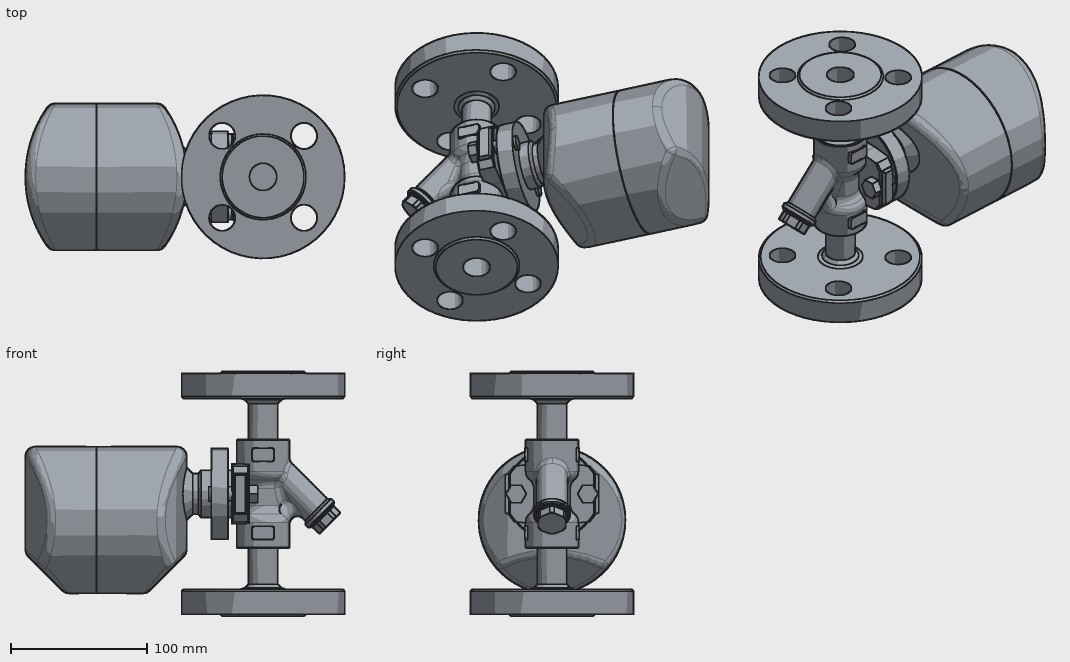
import cadquery as cq
import math

hex_sides = 6

half_height = 90.0
flange_dia = 120.0
raised_face_top_dia = 60.0
raised_face_base_dia = 63.0
raised_face_height = 1.5
flange_inner_face = 70.0
flange_chamfer = 1.5
bolt_circle_dia = 85.0
bolt_hole_dia = 19.0
bolt_hole_count = 4
bore_dia = 20.0
hub_base_dia = 33.0
hub_dia = 27.0
hub_flare_height = 1.0
pipe_dia = 21.7

body_dia = 39.0
body_half_height = 40.0
body_edge_chamfer = 0.8
waist_dia = 27.0
waist_centre = -2.1
waist_half_straight = 6.3
waist_half_total = 18.8
pad_width = 16.0
pad_height = 9.8
pad_corner = 3.0
pad_draft = 10.0
pad_face = 20.0
pad_centre_height = 28.7

branch_dia = 23.0
branch_axis_height = 27.4
branch_length = 55.2
branch_fillet = 5.8
ring_dia = 27.0
ring_cone = 2.0
ring_end = 61.2
ring_chamfer = 1.0
collar_end = 62.4
plug_across_flats = 20.4
plug_dia = 22.0
plug_end = 69.5
plug_chamfer = 0.4

yoke_left = -23.0
yoke_right = -10.3
yoke_half_height = 22.1
yoke_shoulder_y = 12.0
yoke_corner_y = 27.7
yoke_corner_z = 20.4
yoke_end_y = 31.8
yoke_end_chamfer = 1.0
yoke_end_half_height = 15.1
yoke_pad_left = -20.3
yoke_pad_right = -13.2
yoke_pad_face = 34.5
yoke_pad_half_height = 13.8
yoke_pad_draft = 20.0
bolt_offset = 26.3
bolt_dia = 10.5
bolt_left = -40.0
nut_across_flats = 13.0
nut_end = -3.9

clamp_dia = 67.0
clamp_left = -38.0
clamp_right = -25.5
clamp_chamfer = 0.6
neck_hub_dia = 35.0
neck_hub_left = -46.4
neck_groove_dia = 30.0
neck_groove_right = -47.6
neck_hub_chamfer = 1.0
neck_cone_right = -51.6
neck_end_dia = 48.0

head_left = -174.7
head_right = -56.0
head_dia = 108.0
head_axis_height = -19.2
head_end_radius = 88.5
head_fillet = 7.5
head_overrun = 1.0
outline_margin = 11.0
slant_start_height = -43.9
seam_left = -122.4
seam_width = 0.4
seam_depth = 0.2


def x_cylinder(diameter, start, end, y=0.0, z=0.0):
    """Cylinder along X between two X positions."""
    return cq.Workplane("YZ", origin=(start, y, z)).circle(diameter / 2).extrude(end - start)


def make_flange():
    """Upper flange with hub, bolt holes and blind bore."""
    face = half_height - raised_face_height
    cone_height = (hub_dia - pipe_dia) / 2
    cone_base = flange_inner_face - hub_flare_height
    rim = flange_dia / 2
    profile = [
        (0, cone_base - cone_height),
        (pipe_dia / 2, cone_base - cone_height),
        (hub_dia / 2, cone_base),
        (hub_base_dia / 2, flange_inner_face),
        (rim - flange_chamfer, flange_inner_face),
        (rim, flange_inner_face + flange_chamfer),
        (rim, face),
        (raised_face_base_dia / 2, face),
        (raised_face_top_dia / 2, half_height),
        (0, half_height),
    ]
    flange = cq.Workplane("XZ").polyline(profile).close().revolve(360, (0, 0, 0), (0, 1, 0))
    holes = (
        cq.Workplane("XY", origin=(0, 0, flange_inner_face))
        .polarArray(bolt_circle_dia / 2, 180 / bolt_hole_count, 360, bolt_hole_count)
        .circle(bolt_hole_dia / 2)
        .extrude(half_height - flange_inner_face)
    )
    bore = cq.Workplane("XY", origin=(0, 0, flange_inner_face))
    bore = bore.circle(bore_dia / 2).extrude(half_height - flange_inner_face)
    return flange.cut(holes).cut(bore)


def make_pipe():
    """Pipe between the two flanges."""
    base = cq.Workplane("XY", origin=(0, 0, -flange_inner_face))
    return base.circle(pipe_dia / 2).extrude(2 * flange_inner_face)


def make_barrel():
    """Body turned about Z; S-shaped shoulders lead into the waist."""
    outer = body_dia / 2
    inner = waist_dia / 2
    edge = outer - body_edge_chamfer
    middle = (outer + inner) / 2
    half_middle = (waist_half_straight + waist_half_total) / 2
    return (
        cq.Workplane("XZ")
        .moveTo(0, -body_half_height)
        .lineTo(edge, -body_half_height)
        .lineTo(outer, -body_half_height + body_edge_chamfer)
        .lineTo(outer, waist_centre - waist_half_total)
        .tangentArcPoint((middle, waist_centre - half_middle), relative=False)
        .tangentArcPoint((inner, waist_centre - waist_half_straight), relative=False)
        .lineTo(inner, waist_centre + waist_half_straight)
        .tangentArcPoint((middle, waist_centre + half_middle), relative=False)
        .tangentArcPoint((outer, waist_centre + waist_half_total), relative=False)
        .lineTo(outer, body_half_height - body_edge_chamfer)
        .lineTo(edge, body_half_height)
        .lineTo(0, body_half_height)
        .close()
        .revolve(360, (0, 0, 0), (0, 1, 0))
    )


def branch_plane(distance):
    """Plane square to the branch axis at a distance along it."""
    step = distance * math.sqrt(0.5)
    return cq.Workplane(
        cq.Plane(origin=(step, 0, branch_axis_height - step), xDir=(0, 1, 0), normal=(1, 0, -1))
    )


def make_branch_end():
    """Ring, collar and hexagonal plug at the outer end of the branch."""
    cone = (
        branch_plane(branch_length)
        .circle(branch_dia / 2)
        .workplane(offset=ring_cone)
        .circle(ring_dia / 2)
        .loft()
    )
    ring_start = branch_length + ring_cone
    ring = branch_plane(ring_start).circle(ring_dia / 2).extrude(ring_end - ring_start)
    ring = ring.faces(">(1, 0, -1)").edges().chamfer(ring_chamfer)
    collar = branch_plane(ring_end).circle(branch_dia / 2).extrude(collar_end - ring_end)
    plug_length = plug_end - collar_end
    plug = branch_plane(collar_end).circle(plug_dia / 2).extrude(plug_length)
    plug = plug.faces(">(1, 0, -1)").edges().chamfer(plug_chamfer)
    hexagon = (
        branch_plane(collar_end)
        .transformed(rotate=(0, 0, 180 / hex_sides))
        .polygon(hex_sides, plug_across_flats / math.cos(math.pi / hex_sides))
        .extrude(plug_length)
    )
    plug = plug.intersect(hexagon)
    return cone.union(ring).union(collar).union(plug)


def make_body():
    """Waisted barrel and branch, blended where they meet."""
    branch = branch_plane(0).circle(branch_dia / 2).extrude(branch_length)
    body = make_barrel().union(branch)
    junction = [edge for edge in body.edges().vals() if edge.geomType() == "BSPLINE"]
    return body.newObject(junction).fillet(branch_fillet)


def drafted_pad(width, height, thickness, draft, corner=0.0):
    """Pad on the XZ plane growing towards -Y, with sides that lean inwards."""
    outline = cq.Sketch().rect(width, height)
    if corner > 0:
        outline = outline.vertices().fillet(corner)
    return cq.Workplane("XZ").placeSketch(outline).extrude(thickness, taper=draft)


def make_body_pads():
    """Flat marking pads on both sides of both barrels."""
    base = waist_dia / 2
    thickness = pad_face - base
    spread = 2 * (body_dia / 2 - base) * math.tan(math.radians(pad_draft))
    pad = drafted_pad(pad_width + spread, pad_height + spread, thickness, pad_draft, pad_corner)
    pad = pad.translate((0, -base, pad_centre_height))
    front = pad.union(pad.mirror("XY"))
    return front.union(front.mirror("XZ"))


def make_yoke():
    """Block with sloped ends, end pads, and the two clamp bolts."""
    quarter = [
        (yoke_shoulder_y, yoke_half_height),
        (yoke_corner_y, yoke_corner_z),
        (yoke_end_y, yoke_end_half_height),
    ]
    right_side = quarter + [(y, -z) for y, z in reversed(quarter)]
    outline = right_side + [(-y, -z) for y, z in right_side]
    yoke = cq.Workplane("YZ", origin=(yoke_left, 0, 0)).polyline(outline).close()
    yoke = yoke.extrude(yoke_right - yoke_left)
    edges = yoke.edges("#X").vals()
    end_edges = [edge for edge in edges if abs(edge.Center().y) > yoke_corner_y]
    yoke = yoke.newObject(end_edges).chamfer(yoke_end_chamfer)
    pad_thickness = yoke_pad_face - yoke_end_y
    spread = 2 * pad_thickness * math.tan(math.radians(yoke_pad_draft))
    pad = drafted_pad(
        yoke_pad_right - yoke_pad_left + spread,
        2 * yoke_pad_half_height + spread,
        pad_thickness,
        yoke_pad_draft,
    )
    pad = pad.translate(((yoke_pad_left + yoke_pad_right) / 2, -yoke_end_y, 0))
    yoke = yoke.union(pad).union(pad.mirror("XZ"))
    nut_dia = nut_across_flats / math.cos(math.pi / hex_sides)
    for y in (-bolt_offset, bolt_offset):
        bolt = x_cylinder(bolt_dia, bolt_left, yoke_right, y)
        nut = cq.Workplane("YZ", origin=(yoke_right, y, 0)).polygon(hex_sides, nut_dia)
        nut = nut.extrude(nut_end - yoke_right)
        yoke = yoke.union(bolt).union(nut)
    return yoke


def make_neck():
    """Clamp flange, grooved hub and the cone that meets the head."""
    cone_height = (neck_end_dia - neck_groove_dia) / 2
    cone_left = neck_cone_right - cone_height
    clamp = x_cylinder(clamp_dia, clamp_left, clamp_right).faces(">X").edges().chamfer(clamp_chamfer)
    hub = x_cylinder(neck_hub_dia, neck_hub_left, yoke_left).faces("<X").edges().chamfer(neck_hub_chamfer)
    groove = x_cylinder(neck_groove_dia, neck_cone_right, neck_groove_right)
    shoulder = (
        cq.Workplane("YZ", origin=(neck_groove_right, 0, 0))
        .circle(neck_groove_dia / 2)
        .workplane(offset=neck_hub_left - neck_groove_right)
        .circle(neck_hub_dia / 2 - neck_hub_chamfer)
        .loft()
    )
    cone = (
        cq.Workplane("YZ", origin=(cone_left, 0, 0))
        .circle(neck_end_dia / 2)
        .workplane(offset=cone_height)
        .circle(neck_groove_dia / 2)
        .loft()
    )
    return clamp.union(hub).union(groove).union(shoulder).union(cone)


def make_head():
    """Cylinder with bowed ends and two 45 degree slants underneath.

    The bowed and slanted outlines reach past the drum, so they only trim its ends.
    """
    reach = head_dia / 2 + outline_margin
    low = head_axis_height - reach
    high = head_axis_height + reach
    sagitta = head_end_radius - math.sqrt(head_end_radius**2 - reach**2)
    bowed = (
        cq.Workplane("XY", origin=(0, 0, low))
        .moveTo(head_left + sagitta, -reach)
        .lineTo(head_right - sagitta, -reach)
        .threePointArc((head_right, 0), (head_right - sagitta, reach))
        .lineTo(head_left + sagitta, reach)
        .threePointArc((head_left, 0), (head_left + sagitta, -reach))
        .close()
        .extrude(2 * reach)
    )
    slant = slant_start_height - low
    left = head_left - head_overrun
    right = head_right + head_overrun
    side = [
        (left, high),
        (left, slant_start_height + head_overrun),
        (head_left + slant, low),
        (head_right - slant, low),
        (right, slant_start_height + head_overrun),
        (right, high),
    ]
    slants = cq.Workplane("XZ", origin=(0, reach, 0)).polyline(side).close().extrude(2 * reach)
    drum = x_cylinder(head_dia, left, right, 0, head_axis_height)
    head = drum.intersect(bowed).intersect(slants).edges("not |X").fillet(head_fillet)
    seam_right = seam_left + seam_width
    seam = x_cylinder(head_dia, seam_left, seam_right, 0, head_axis_height)
    seam_core = x_cylinder(head_dia - 2 * seam_depth, seam_left, seam_right, 0, head_axis_height)
    return head.cut(seam.cut(seam_core))


upper_flange = make_flange()
result = (
    make_body()
    .union(make_body_pads())
    .union(make_branch_end())
    .union(make_pipe())
    .union(make_yoke())
    .union(make_neck())
    .union(make_head())
    .union(upper_flange)
    .union(upper_flange.mirror("XY"))
)